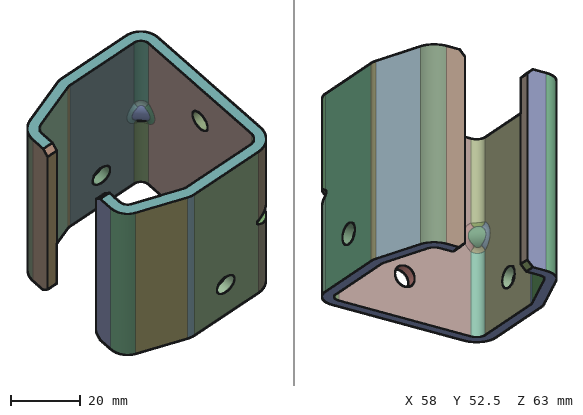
import cadquery as cq
import math

width = 58.0
depth = 52.5
height = 63.0

wall = 3.5
outer_bend = 6.5
inner_bend = outer_bend - wall
side_length = 32.05
lean_angle = 20.0
lip_gap = 21.15
lip_chamfer = 1.9

hole_diameter = 6.7
hole_edge_distance = 13.5
back_hole_pitch = 35.0
side_hole_setback = 18.95

groove_setback = 7.05
groove_radius = 1.0
groove_flank_angle = 45.0
bump_radius = groove_radius + wall
bump_setback = 11.9
bump_blend = 2.0

half_width = width / 2
back_y = depth / 2
front_y = -depth / 2
diagonal = math.sqrt(2)


def profile_block(inset, bend_radius):
    """Closed channel outline, moved inward by inset and extruded with rounded bends."""
    lean = math.radians(lean_angle)
    side_x = half_width - inset
    top_y = back_y - inset
    bottom_y = front_y + inset
    turn_y = back_y - side_length + inset * math.tan(lean / 2)
    foot_x = side_x - (turn_y - bottom_y) * math.tan(lean)
    outline = [
        (-side_x, top_y),
        (side_x, top_y),
        (side_x, turn_y),
        (foot_x, bottom_y),
        (-foot_x, bottom_y),
        (-side_x, turn_y),
    ]
    block = cq.Workplane("XY").polyline(outline).close().extrude(height)
    return block.edges("|Z").fillet(bend_radius)


def lip_opening():
    """Gap between the lips, widened by a chamfer at both ends."""
    half_gap = lip_gap / 2
    wide = half_gap + lip_chamfer
    outline = [
        (-wide, 0),
        (wide, 0),
        (half_gap, lip_chamfer),
        (half_gap, height - lip_chamfer),
        (wide, height),
        (-wide, height),
        (-half_gap, height - lip_chamfer),
        (-half_gap, lip_chamfer),
    ]
    return cq.Workplane("XZ", origin=(0, front_y, 0)).polyline(outline).close().extrude(wall, both=True)


def corner_plane(side):
    """Plane across a back corner: local x points into the channel, local y is Z."""
    return cq.Plane(
        origin=(side * half_width, back_y, height / 2),
        xDir=(-side, -1, 0),
        normal=(-1, side, 0),
    )


def dimple_groove(side):
    """V groove with a rounded bottom, cut across the outside of a back corner."""
    flank = math.radians(groove_flank_angle)
    bottom = groove_setback / diagonal
    tangent_x = bottom - groove_radius * (1 - math.sin(flank))
    tangent_z = groove_radius * math.cos(flank)
    mouth_z = tangent_z + tangent_x * math.tan(flank)
    return (
        cq.Workplane(corner_plane(side))
        .moveTo(0, -mouth_z)
        .lineTo(tangent_x, -tangent_z)
        .threePointArc((bottom, 0), (tangent_x, tangent_z))
        .lineTo(0, mouth_z)
        .close()
        .extrude(bump_setback, both=True)
    )


def dimple_bump(side):
    """Round ridge across the inside of a back corner."""
    crest = bump_setback / diagonal
    return (
        cq.Workplane(corner_plane(side))
        .center(crest - bump_radius, 0)
        .circle(bump_radius)
        .extrude(bump_setback, both=True)
    )


sides = (-1, 1)
cavity = profile_block(wall, inner_bend)
for side in sides:
    cavity = cavity.cut(dimple_bump(side))
around_bumps = cq.selectors.BoxSelector(
    (-half_width, front_y, height / 2 - bump_radius),
    (half_width, back_y, height / 2 + bump_radius),
)
cavity = cavity.edges("not |Z").edges(around_bumps).fillet(bump_blend)

body = profile_block(0, outer_bend).cut(cavity).cut(lip_opening())
for side in sides:
    body = body.cut(dimple_groove(side))

back_holes = (
    cq.Workplane("XZ", origin=(0, back_y, 0))
    .pushPoints([(0, hole_edge_distance), (0, hole_edge_distance + back_hole_pitch)])
    .circle(hole_diameter / 2)
    .extrude(wall, both=True)
)
side_hole = (
    cq.Workplane("YZ")
    .center(back_y - side_hole_setback, hole_edge_distance)
    .circle(hole_diameter / 2)
    .extrude(half_width, both=True)
)
result = body.cut(back_holes).cut(side_hole)